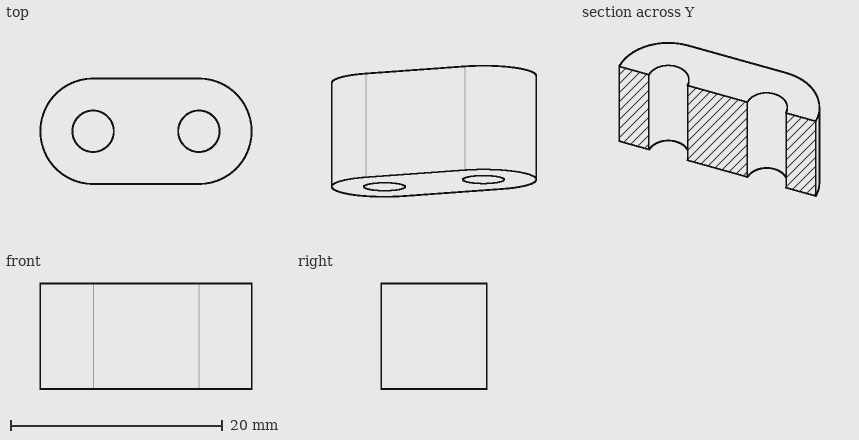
import cadquery as cq

width = 10.0
height = 10.0
hole_spacing = 10.0
hole_diameter = 3.9

length = hole_spacing + width
hole_centres = [(-hole_spacing / 2, 0), (hole_spacing / 2, 0)]


def make_body():
    """Block with full-round ends, standing on the XY plane."""
    return cq.Workplane("XY").slot2D(length, width).extrude(height)


def drill_holes(body):
    """Two through holes, one at the centre of each rounded end."""
    return body.faces(">Z").workplane().pushPoints(hole_centres).hole(hole_diameter)


result = drill_holes(make_body())